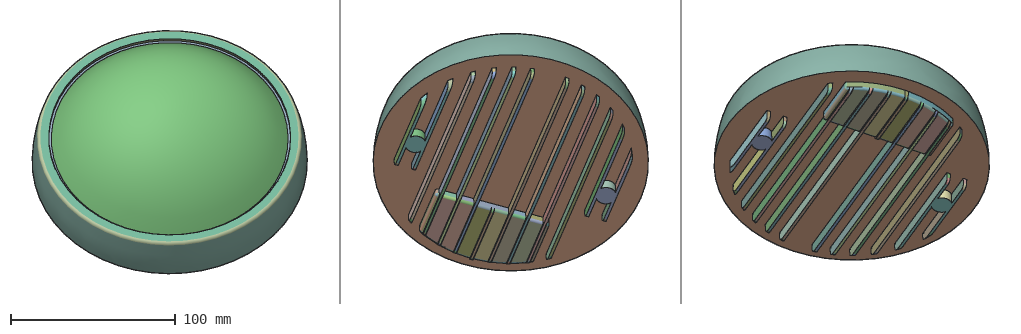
import cadquery as cq
import math


BASE_RADIUS = 83.5
RIM_RADIUS = 80.3
HOUSING_HEIGHT = 26.2
RIM_ROUNDING = 1.5
RIM_FLAT_RADIUS = 78.3
OPENING_RADIUS = 73.3

LENS_RIM_RADIUS = 70.5
LENS_RISE = 36.7
LENS_FOOT_RADIUS = 71.8
LENS_SPHERE_RADIUS = (LENS_RIM_RADIUS**2 + LENS_RISE**2) / (2 * LENS_RISE)
LENS_TOP = HOUSING_HEIGHT + LENS_RISE
LENS_CENTER_Z = LENS_TOP - LENS_SPHERE_RADIUS
GAP_FLOOR_Z = LENS_CENTER_Z + math.sqrt(LENS_SPHERE_RADIUS**2 - LENS_FOOT_RADIUS**2)

FIN_DEPTH = 7.0
OUTER_FIN = 6
OUTER_FIN_X = 66.6
FIN_PITCH = OUTER_FIN_X / OUTER_FIN
FIN_ROOT_WIDTH = 2.5
FIN_TIP_WIDTH = 1.8
FIN_CIRCLE_RADIUS = 74.0
FIN_END_ROUNDING = 3.0
FIN_OVERSHOOT = 8.4
FIN_STOCK_END = FIN_CIRCLE_RADIUS + FIN_OVERSHOOT
FIRST_SHORT_FIN = 5
SHORT_FIN_END_Y = 20.4

BOX_HALF_WIDTH = 36.5
BOX_DEPTH = 5.7
BOX_FRONT_Y = 33.4
BOX_CORNER_RADIUS = 1.7
BOX_EDGE_ROUNDING = 1.5
MIDDLE_FIN_ROUNDING = 1.7

BOSS_RADIUS = 6.3
BOSS_X = (OUTER_FIN - 0.5) * FIN_PITCH


def make_housing():
    """Solid housing with a bowed side, a rounded rim and a recess for the lens."""
    side_top_z = HOUSING_HEIGHT - RIM_ROUNDING
    side_draw_in = BASE_RADIUS - RIM_RADIUS
    side_arc_radius = (side_top_z**2 + side_draw_in**2) / (2 * side_draw_in)
    rim_arc_radius = RIM_RADIUS - RIM_FLAT_RADIUS
    return (
        cq.Workplane("XZ")
        .lineTo(BASE_RADIUS, 0)
        .radiusArc((RIM_RADIUS, side_top_z), -side_arc_radius)
        .radiusArc((RIM_FLAT_RADIUS, HOUSING_HEIGHT), -rim_arc_radius)
        .lineTo(OPENING_RADIUS, HOUSING_HEIGHT)
        .lineTo(OPENING_RADIUS, GAP_FLOOR_Z)
        .lineTo(0, GAP_FLOOR_Z)
        .close()
        .revolve(360, (0, 0), (0, 1))
    )


def make_lens():
    """Spherical cap standing on the floor of the recess."""
    return (
        cq.Workplane("XZ")
        .moveTo(0, GAP_FLOOR_Z)
        .lineTo(LENS_FOOT_RADIUS, GAP_FLOOR_Z)
        .radiusArc((0, LENS_TOP), -LENS_SPHERE_RADIUS)
        .close()
        .revolve(360, (0, 0), (0, 1))
    )


def make_fin(x, start_y, end_y, rounding):
    """Tapered fin along Y whose lower ends are rounded."""
    half_root = FIN_ROOT_WIDTH / 2
    half_tip = FIN_TIP_WIDTH / 2
    return (
        cq.Workplane("XZ", origin=(x, end_y, 0))
        .polyline([(-half_root, 0), (half_root, 0), (half_tip, -FIN_DEPTH), (-half_tip, -FIN_DEPTH)])
        .close()
        .extrude(end_y - start_y)
        .faces("<Z")
        .edges("|X")
        .fillet(rounding)
    )


def make_fins():
    """Parallel fins on both sides of the middle fin, trimmed to a circle with a rounded lower edge."""
    envelope = (
        cq.Workplane("XY")
        .circle(FIN_CIRCLE_RADIUS)
        .extrude(-FIN_DEPTH)
        .faces("<Z")
        .edges()
        .fillet(FIN_END_ROUNDING)
    )
    fins = cq.Workplane("XY")
    for index in range(1, OUTER_FIN + 1):
        end_y = SHORT_FIN_END_Y if index >= FIRST_SHORT_FIN else FIN_STOCK_END
        for side in (-1, 1):
            fin_x = side * index * FIN_PITCH
            fins = fins.add(make_fin(fin_x, -FIN_STOCK_END, end_y, FIN_END_ROUNDING))
    return fins.combine().intersect(envelope)


def make_middle_fin():
    """Short fin on the center line, flush with the front and back of the box."""
    return make_fin(0, BOX_FRONT_Y, FIN_CIRCLE_RADIUS, MIDDLE_FIN_ROUNDING)


def make_box():
    """Shallow box with a flat front and an outer face on the fin circle."""
    side_end_y = math.sqrt(FIN_CIRCLE_RADIUS**2 - BOX_HALF_WIDTH**2)
    return (
        cq.Workplane("XY")
        .moveTo(-BOX_HALF_WIDTH, BOX_FRONT_Y)
        .lineTo(BOX_HALF_WIDTH, BOX_FRONT_Y)
        .lineTo(BOX_HALF_WIDTH, side_end_y)
        .threePointArc((0, FIN_CIRCLE_RADIUS), (-BOX_HALF_WIDTH, side_end_y))
        .close()
        .extrude(-BOX_DEPTH)
        .edges("|Z")
        .fillet(BOX_CORNER_RADIUS)
        .faces("<Z")
        .edges()
        .fillet(BOX_EDGE_ROUNDING)
    )


def make_bosses():
    """Pair of round bosses bridging the two outermost fins on each side."""
    return (
        cq.Workplane("XY")
        .pushPoints([(-BOSS_X, 0), (BOSS_X, 0)])
        .circle(BOSS_RADIUS)
        .extrude(-FIN_DEPTH)
    )


result = (
    make_housing()
    .union(make_lens())
    .union(make_box())
    .union(make_middle_fin())
    .union(make_fins())
    .union(make_bosses())
)